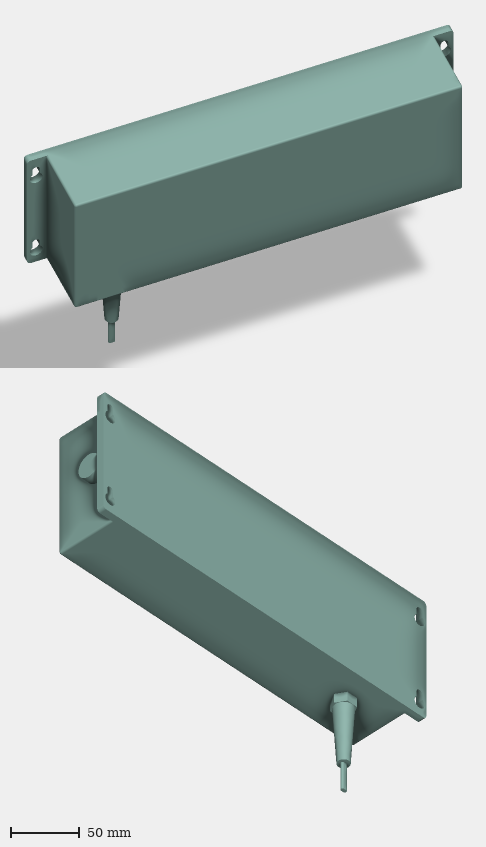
import cadquery as cq
import math

plate_length = 335.0
plate_height = 110.0
plate_thickness = 6.5
plate_corner_radius = 3.0

total_depth = 60.0
flange_width = 15.0
box_length = plate_length - 2 * flange_width
box_edge_radius = 1.7

keyhole_head_diameter = 10.0
keyhole_slot_width = 6.0
keyhole_slot_rise = 8.7
keyhole_edge_distance = 7.0
upper_keyhole_z = plate_height / 2 - 20.5
lower_keyhole_z = -plate_height / 2 + 11.7

connector_diameter = 20.8
connector_length = 9.5
connector_x = 20.5

total_height = 195.0
gland_x = 27.8
gland_y = -plate_length / 2 + 57.3
gland_across_flats = 17.5
gland_height = 8.5
relief_top_diameter = 16.8
relief_bottom_diameter = 10.5
relief_length = 51.5
cable_width = 5.5
cable_thickness = 3.0
cable_length = total_height - plate_height - gland_height - relief_length


def mounting_plate():
    plate = cq.Workplane("XY").box(
        plate_thickness, plate_length, plate_height, centered=(False, True, True)
    )
    return plate.edges("|X").fillet(plate_corner_radius)


def housing():
    """Box with rounded edges everywhere except where it meets the plate."""
    box = cq.Workplane("XY").box(
        total_depth - plate_thickness, box_length, plate_height, centered=(False, True, True)
    )
    box = box.edges("not <X").fillet(box_edge_radius)
    return box.translate((plate_thickness, 0, 0))


def keyhole(y, z):
    """Round head opening with a narrower round-ended slot above it."""
    face = cq.Workplane("YZ")
    head = face.center(y, z).circle(keyhole_head_diameter / 2).extrude(plate_thickness)
    slot = (
        face.center(y, z + keyhole_slot_rise / 2)
        .slot2D(keyhole_slot_rise + keyhole_slot_width, keyhole_slot_width, 90)
        .extrude(plate_thickness)
    )
    return head.union(slot)


def connector():
    return (
        cq.Workplane("XZ", origin=(connector_x, box_length / 2, 0))
        .circle(connector_diameter / 2)
        .extrude(-connector_length)
    )


def cable_outlet():
    """Hexagonal gland, tapered strain relief and flat cable, stacked downwards."""
    gland_top = -plate_height / 2
    relief_top = gland_top - gland_height
    cable_top = relief_top - relief_length

    def level(z):
        return cq.Workplane("XY", origin=(gland_x, gland_y, z))

    across_corners = gland_across_flats / math.cos(math.pi / 6)
    gland = (
        level(gland_top)
        .transformed(rotate=(0, 0, 90))
        .polygon(6, across_corners)
        .extrude(-gland_height)
    )
    relief = (
        level(relief_top)
        .circle(relief_top_diameter / 2)
        .workplane(offset=-relief_length)
        .circle(relief_bottom_diameter / 2)
        .loft()
    )
    cable = level(cable_top).slot2D(cable_width, cable_thickness, 90).extrude(-cable_length)
    return gland.union(relief).union(cable)


result = mounting_plate().union(housing()).union(connector()).union(cable_outlet())

keyhole_y = plate_length / 2 - keyhole_edge_distance
for y in (-keyhole_y, keyhole_y):
    for z in (lower_keyhole_z, upper_keyhole_z):
        result = result.cut(keyhole(y, z))